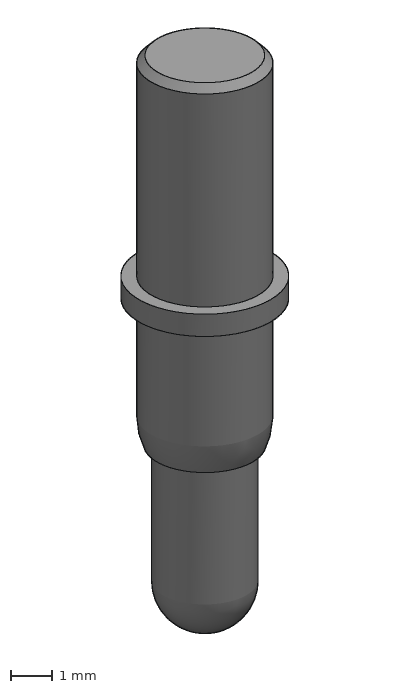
import cadquery as cq
import math

total_length = 15.57
barrel_radius = 1.65
flange_radius = 2.032
plunger_radius = 1.3
top_chamfer_width = 0.2
top_chamfer_height = 0.2
flange_thickness = 0.6
upper_barrel_length = 6.0
lower_barrel_length = 3.19
crimp_height = 0.8
crimp_end_radius = 1.48

dome_top = plunger_radius
flange_top = total_length - upper_barrel_length
flange_bottom = flange_top - flange_thickness
crimp_top = flange_bottom - lower_barrel_length
crimp_bottom = crimp_top - crimp_height

crimp_inset = barrel_radius - crimp_end_radius
crimp_arc_radius = (crimp_inset**2 + crimp_height**2) / (2 * crimp_inset)
half_angle = math.asin(crimp_height / crimp_arc_radius) / 2
crimp_middle = (
    barrel_radius - crimp_arc_radius * (1 - math.cos(half_angle)),
    crimp_top - crimp_arc_radius * math.sin(half_angle),
)

dome_middle = (
    plunger_radius * math.sin(math.pi / 4),
    dome_top - plunger_radius * math.cos(math.pi / 4),
)

profile = (
    cq.Workplane("XZ")
    .moveTo(0, 0)
    .threePointArc(dome_middle, (plunger_radius, dome_top))
    .lineTo(plunger_radius, crimp_bottom)
    .lineTo(crimp_end_radius, crimp_bottom)
    .threePointArc(crimp_middle, (barrel_radius, crimp_top))
    .lineTo(barrel_radius, flange_bottom)
    .lineTo(flange_radius, flange_bottom)
    .lineTo(flange_radius, flange_top)
    .lineTo(barrel_radius, flange_top)
    .lineTo(barrel_radius, total_length - top_chamfer_height)
    .lineTo(barrel_radius - top_chamfer_width, total_length)
    .lineTo(0, total_length)
    .close()
)

result = profile.revolve(360, (0, 0, 0), (0, 1, 0))